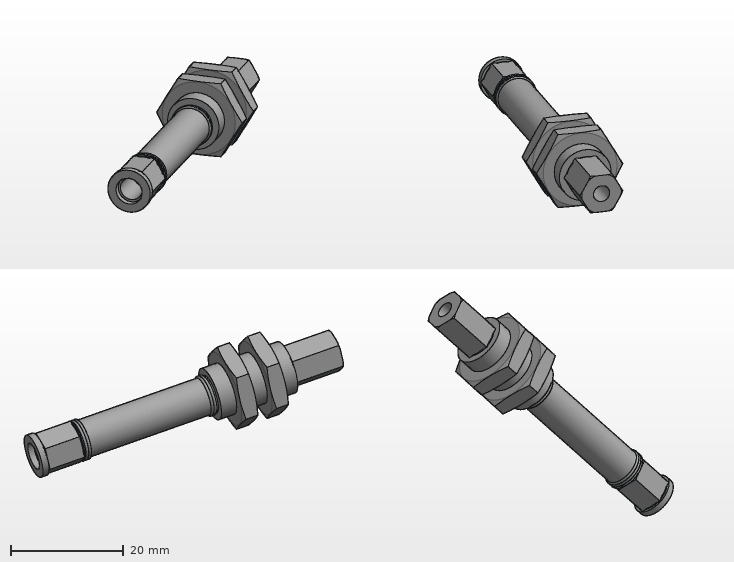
import cadquery as cq
import math

total_length = 59.2

collar_diameter = 8.0
collar_length = 1.2
wrench_flats = 7.0
front_hex_length = 6.8
hex_relief = 0.18
front_hex_start = collar_length + hex_relief
front_hex_end = front_hex_start + front_hex_length

tube_diameter = 7.0
bead_root_diameter = 7.1
bead_peak_diameter = 7.6
bead_width = 0.55
bead_count = 2
bead_lead_in = 0.3
front_crimp_start = front_hex_end + hex_relief

barrel_diameter = 9.7
barrel_length = 15.0
barrel_end = 49.7
rear_hex_start = barrel_end + hex_relief
barrel_start = barrel_end - barrel_length
nut_count = 2
nut_flats = 14.0
nut_thickness = 3.0
nut_spacing = 2 * nut_thickness
first_nut_start = barrel_start + nut_thickness
nut_face_diameter = 13.8
nut_chamfer_angle = 15.0
rear_hex_face_diameter = 7.4
rear_hex_chamfer_angle = 30.0

counterbore_diameter = 4.9
counterbore_depth = 1.2
pilot_diameter = 4.1
pilot_depth = 8.0
through_diameter = 3.0
drill_point_angle = 118.0


def cylinder(diameter, start, end):
    """Round bar along Y between two stations."""
    profile = cq.Workplane("XZ", origin=(0, start, 0)).circle(diameter / 2)
    return profile.extrude(start - end)


def hex_corner_radius(across_flats):
    """Distance from the axis to the corners of a hexagon."""
    return across_flats / 2 / math.cos(math.pi / 6)


def hexagon(across_flats, start, end):
    """Hexagonal bar along Y with two flats facing up and down."""
    profile = cq.Workplane("XZ", origin=(0, start, 0))
    profile = profile.polygon(6, 2 * hex_corner_radius(across_flats))
    return profile.extrude(start - end)


def revolve_about_y(profile):
    """Revolve an XY outline, drawn as (radius, station), about the Y axis."""
    return profile.close().revolve(360, (0, 0, 0), (0, 1, 0))


def corner_chamfer_drop(across_flats, face_diameter, angle):
    """Axial length of a conical chamfer measured at the hexagon corners."""
    return (hex_corner_radius(across_flats) - face_diameter / 2) * math.tan(math.radians(angle))


def nut(start):
    """Hexagonal nut with conically chamfered corners on both faces."""
    end = start + nut_thickness
    corner_radius = hex_corner_radius(nut_flats)
    drop = corner_chamfer_drop(nut_flats, nut_face_diameter, nut_chamfer_angle)
    envelope = (
        cq.Workplane("XY")
        .moveTo(0, start)
        .lineTo(nut_face_diameter / 2, start)
        .lineTo(corner_radius, start + drop)
        .lineTo(corner_radius, end - drop)
        .lineTo(nut_face_diameter / 2, end)
        .lineTo(0, end)
    )
    return hexagon(nut_flats, start, end).intersect(revolve_about_y(envelope))


def rear_hexagon():
    """Rear wrench hexagon with its free end lightly chamfered."""
    corner_radius = hex_corner_radius(wrench_flats)
    drop = corner_chamfer_drop(wrench_flats, rear_hex_face_diameter, rear_hex_chamfer_angle)
    envelope = (
        cq.Workplane("XY")
        .moveTo(0, rear_hex_start)
        .lineTo(corner_radius, rear_hex_start)
        .lineTo(corner_radius, total_length - drop)
        .lineTo(rear_hex_face_diameter / 2, total_length)
        .lineTo(0, total_length)
    )
    return hexagon(wrench_flats, rear_hex_start, total_length).intersect(revolve_about_y(envelope))


def crimp_band(start, direction, start_diameter):
    """Lead-in and round beads, laid out from start along +Y (1) or -Y (-1)."""
    root_radius = bead_root_diameter / 2
    peak_radius = bead_peak_diameter / 2
    station = start + direction * bead_lead_in
    profile = (
        cq.Workplane("XY")
        .moveTo(0, start)
        .lineTo(start_diameter / 2, start)
        .lineTo(root_radius, station)
    )
    for _ in range(bead_count):
        middle = station + direction * bead_width / 2
        station += direction * bead_width
        profile = profile.threePointArc((peak_radius, middle), (root_radius, station))
    return revolve_about_y(profile.lineTo(0, station))


def port_bore():
    """Stepped bore entering from the front and running out through the rear."""
    cone_length = (pilot_diameter - through_diameter) / 2 / math.tan(math.radians(drill_point_angle / 2))
    profile = (
        cq.Workplane("XY")
        .lineTo(counterbore_diameter / 2, 0)
        .lineTo(counterbore_diameter / 2, counterbore_depth)
        .lineTo(pilot_diameter / 2, counterbore_depth)
        .lineTo(pilot_diameter / 2, pilot_depth)
        .lineTo(through_diameter / 2, pilot_depth + cone_length)
        .lineTo(through_diameter / 2, total_length)
        .lineTo(0, total_length)
    )
    return revolve_about_y(profile)


body = cylinder(tube_diameter, 0, rear_hex_start)
body = body.union(cylinder(collar_diameter, 0, collar_length))
body = body.union(hexagon(wrench_flats, front_hex_start, front_hex_end))
body = body.union(crimp_band(front_crimp_start, 1, bead_peak_diameter))
body = body.union(crimp_band(barrel_start, -1, bead_root_diameter))
body = body.union(cylinder(barrel_diameter, barrel_start, barrel_end))
body = body.union(rear_hexagon())
for nut_index in range(nut_count):
    body = body.union(nut(first_nut_start + nut_index * nut_spacing))

result = body.cut(port_bore())